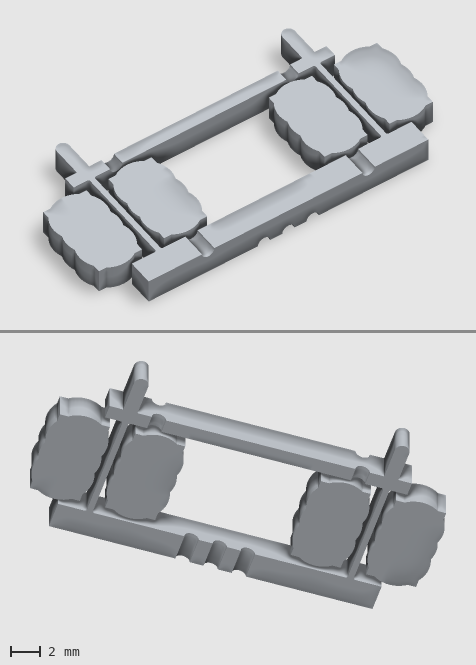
import cadquery as cq

overall_length = 28.1
thickness = 2.0

pad_width = 6.6
pad_height = 3.55
lobe_rise = 0.37
lobe_half_chord = 1.18
lobe_pitch = 1.52
pad_offset = 2.67
outer_pad_y = overall_length / 2 - pad_height / 2 - lobe_rise
beam_y = outer_pad_y - pad_offset
inner_pad_y = beam_y - pad_offset

bar_gap = 7.98
narrow_bar_width = 1.0
narrow_bar_length = 21.4
wide_bar_width = thickness
wide_bar_length = 22.92
beam_width = 0.42
beam_fillet = 0.15
tab_length = 2.87
tab_width = 1.0
narrow_bar_x = -(bar_gap + narrow_bar_width) / 2
wide_bar_x = (bar_gap + wide_bar_width) / 2
narrow_bar_face_x = narrow_bar_x - narrow_bar_width / 2

groove_radius = 0.5
narrow_groove_y = 7.22
underside_groove_pitch = 2.0


def block(x_size, y_size, x, y):
    """Full-thickness block centred at (x, y), standing on Z = 0."""
    return cq.Workplane("XY").center(x, y).rect(x_size, y_size).extrude(thickness)


def make_tab(y):
    """Tab on the outer face of the narrow bar, ending in a half circle."""
    round_start_x = narrow_bar_face_x - tab_length + tab_width / 2
    return (
        cq.Workplane("XY")
        .moveTo(narrow_bar_face_x, y - tab_width / 2)
        .lineTo(round_start_x, y - tab_width / 2)
        .threePointArc((narrow_bar_face_x - tab_length, y), (round_start_x, y + tab_width / 2))
        .lineTo(narrow_bar_face_x, y + tab_width / 2)
        .close()
        .extrude(thickness)
    )


def groove(bar_x, bar_width, y, z):
    """Cylinder along X that cuts a half-round groove across a bar."""
    return (
        cq.Workplane("YZ", origin=(bar_x - bar_width / 2, y, z))
        .circle(groove_radius)
        .extrude(bar_width)
    )


def make_frame():
    frame = block(narrow_bar_width, narrow_bar_length, narrow_bar_x, 0)
    frame = frame.union(block(wide_bar_width, wide_bar_length, wide_bar_x, 0))
    for side in (-1, 1):
        frame = frame.union(block(bar_gap, beam_width, 0, side * beam_y))

    corner_picker = cq.selectors.BoxSelector(
        (-bar_gap / 2 - beam_fillet, -beam_y - beam_width, 0),
        (bar_gap / 2 + beam_fillet, beam_y + beam_width, thickness),
    )
    frame = frame.edges("|Z").edges(corner_picker).fillet(beam_fillet)

    for side in (-1, 1):
        frame = frame.union(make_tab(side * beam_y))
        for z in (0, thickness):
            frame = frame.cut(groove(narrow_bar_x, narrow_bar_width, side * narrow_groove_y, z))
        frame = frame.cut(groove(wide_bar_x, wide_bar_width, side * inner_pad_y, thickness))

    for step in (-1, 0, 1):
        frame = frame.cut(groove(wide_bar_x, wide_bar_width, step * underside_groove_pitch, 0))
    return frame


def make_lobe(x, y, angle):
    """Circular segment with its chord centred at (x, y), bulging towards +Y turned by angle."""
    return (
        cq.Workplane("XY")
        .moveTo(-lobe_half_chord, 0)
        .threePointArc((0, lobe_rise), (lobe_half_chord, 0))
        .close()
        .extrude(thickness)
        .rotate((0, 0, 0), (0, 0, 1), angle)
        .translate((x, y, 0))
    )


def make_pad(y):
    pad = block(pad_width, pad_height, 0, 0)
    for step in (-1, 0, 1):
        pad = pad.union(make_lobe(step * lobe_pitch, pad_height / 2, 0))
        pad = pad.union(make_lobe(step * lobe_pitch, -pad_height / 2, 180))
    pad = pad.union(make_lobe(-pad_width / 2, 0, 90))
    pad = pad.union(make_lobe(pad_width / 2, 0, -90))
    return pad.translate((0, y, 0))


frame = make_frame()
pads = [make_pad(y) for y in (-outer_pad_y, -inner_pad_y, inner_pad_y, outer_pad_y)]

result = cq.Compound.makeCompound([frame.solids().val(), *[pad.solids().val() for pad in pads]])